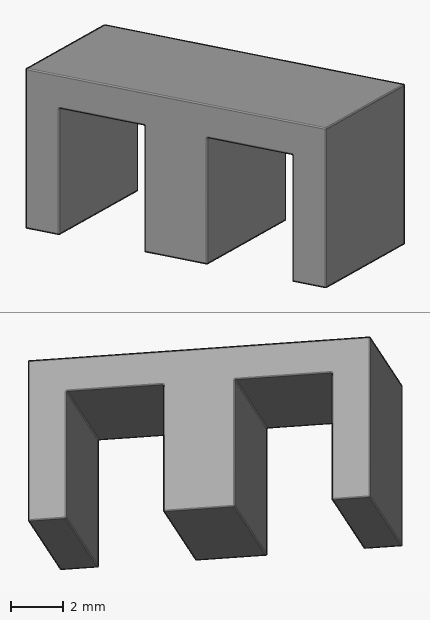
import cadquery as cq

length = 13.4
depth = 5.9
height = 6.5

outer_leg_width = 1.5
center_leg_width = 2.8
back_thickness = 1.35

edge_radius = 0.05

window_width = (length - center_leg_width) / 2 - outer_leg_width
window_height = height - back_thickness
window_offset = (center_leg_width + window_width) / 2


def make_block():
    """Solid block centred in X and Y, standing on Z = 0."""
    return cq.Workplane("XY").box(length, depth, height, centered=(True, True, False))


def make_windows():
    """Two winding windows, open at the bottom and through the full depth."""
    return (
        cq.Workplane("XY")
        .pushPoints([(-window_offset, 0), (window_offset, 0)])
        .box(window_width, depth, window_height, centered=(True, True, False))
    )


result = make_block().cut(make_windows()).edges().fillet(edge_radius)